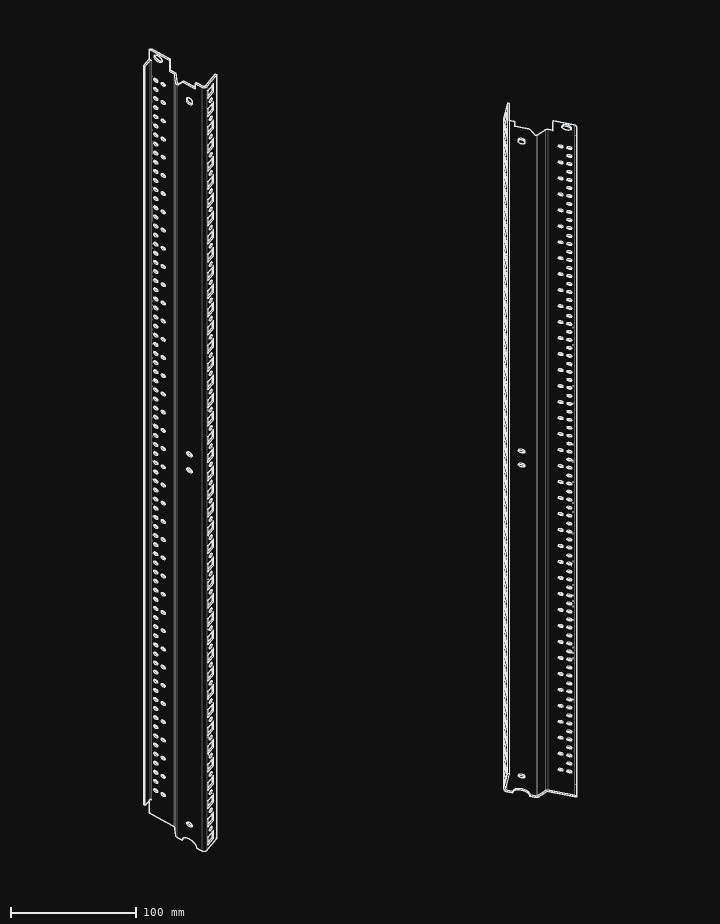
import cadquery as cq
import math

LENGTH = 1048.5
WIDTH = 59.0
DEPTH = 17.0

SHEET = 1.5
INNER_RADIUS = 1.0
OUTER_RADIUS = INNER_RADIUS + SHEET
FLANGE_INNER_RADIUS = 1.5
FLANGE_OUTER_RADIUS = FLANGE_INNER_RADIUS + SHEET
LEFT_WEB_FRONT = 7.5
LEFT_WEB_BACK = LEFT_WEB_FRONT + SHEET
JOG_START = 24.5
JOG_ANGLE = 50.0

SIDE_WALL_BOTTOM = 20.0
SIDE_WALL_TOP = 1035.0

PITCH = 25.0
SMALL_HOLE = 4.0

FIRST_SLOT_Z = 10.75
SLOT_COUNT = 42
SLOT_HEIGHT = 10.5
SLOT_LOW_Y = 4.5
SLOT_HIGH_Y = 12.5

INNER_COLUMN_X = 6.6
OUTER_COLUMN_X = 13.7
FIRST_WEB_HOLE_Z = FIRST_SLOT_Z + PITCH
OUTER_HOLE_COUNT = 40
INNER_HOLE_COUNT = 2 * OUTER_HOLE_COUNT - 1

FIXING_X = 44.0
FIXING_DIAMETER = 5.5
FIXING_BOTTOM_Z = 27.0
FIXING_MIDDLE_SPACING = 22.0
FIXING_SLOT_Z = 1020.0
FIXING_SLOT_LENGTH = 8.5

TAB_HOLE_X = 8.8
TAB_HOLE_Z = 1042.2
TAB_HOLE_DIAMETER = 8.0

NOTCH_LEFT = 20.0
NOTCH_FLOOR = 1033.5
NOTCH_RAMP_START = 33.0
NOTCH_SHOULDER = 1041.2
NOTCH_RAMP_ANGLE = 60.0
NOTCH_RIGHT = 49.6

BOTTOM_NOTCH_RADIUS = 7.0

POINT_TOLERANCE = 0.1


def round_corner(body, x, y, radius):
    """Round the upright edge that passes through (x, y)."""
    near = cq.selectors.BoxSelector(
        (x - POINT_TOLERANCE, y - POINT_TOLERANCE, 0),
        (x + POINT_TOLERANCE, y + POINT_TOLERANCE, LENGTH),
    )
    return body.edges("|Z").edges(near).fillet(radius)


def bent_sheet():
    """Side wall, left web, sloping jog, right web and flange as one bent sheet."""
    slope = math.radians(JOG_ANGLE)
    jog_end = JOG_START + LEFT_WEB_FRONT / math.tan(slope)
    back_shift = SHEET * math.tan(slope / 2)
    flange_inside = WIDTH - SHEET
    outline = [
        (0, 0),
        (0, LEFT_WEB_BACK),
        (JOG_START + back_shift, LEFT_WEB_BACK),
        (jog_end + back_shift, SHEET),
        (flange_inside, SHEET),
        (flange_inside, DEPTH),
        (WIDTH, DEPTH),
        (WIDTH, 0),
        (jog_end, 0),
        (JOG_START, LEFT_WEB_FRONT),
        (SHEET, LEFT_WEB_FRONT),
        (SHEET, 0),
    ]
    bend_corners = [
        (0, LEFT_WEB_BACK, OUTER_RADIUS),
        (SHEET, LEFT_WEB_FRONT, INNER_RADIUS),
        (JOG_START, LEFT_WEB_FRONT, INNER_RADIUS),
        (JOG_START + back_shift, LEFT_WEB_BACK, OUTER_RADIUS),
        (jog_end, 0, OUTER_RADIUS),
        (jog_end + back_shift, SHEET, INNER_RADIUS),
        (WIDTH, 0, FLANGE_OUTER_RADIUS),
        (flange_inside, SHEET, FLANGE_INNER_RADIUS),
    ]
    body = cq.Workplane("XY").polyline(outline).close().extrude(LENGTH)
    for x, y, radius in bend_corners:
        body = round_corner(body, x, y, radius)
    return body


def front_sketch():
    """Plane at the front face, with X to the right and Z up."""
    return cq.Workplane("XZ")


def holes_through_webs(points, diameter):
    return front_sketch().pushPoints(points).circle(diameter / 2).extrude(-DEPTH)


def side_wall_ends():
    """Removes everything in front of the left web, below and above the side wall."""
    bottom = cq.Workplane("XY").rect(OUTER_RADIUS, LEFT_WEB_FRONT, centered=False).extrude(SIDE_WALL_BOTTOM)
    top_start = cq.Workplane("XY", origin=(0, 0, SIDE_WALL_TOP))
    top = top_start.rect(OUTER_RADIUS, LEFT_WEB_FRONT, centered=False).extrude(LENGTH - SIDE_WALL_TOP)
    return bottom.union(top)


def top_notch():
    ramp_rise = NOTCH_SHOULDER - NOTCH_FLOOR
    ramp_end = NOTCH_RAMP_START + ramp_rise / math.tan(math.radians(NOTCH_RAMP_ANGLE))
    outline = [
        (NOTCH_LEFT, LENGTH),
        (NOTCH_LEFT, NOTCH_FLOOR),
        (NOTCH_RAMP_START, NOTCH_FLOOR),
        (ramp_end, NOTCH_SHOULDER),
        (NOTCH_RIGHT, NOTCH_SHOULDER),
        (NOTCH_RIGHT, LENGTH),
    ]
    return front_sketch().polyline(outline).close().extrude(-DEPTH)


def bottom_notch():
    return holes_through_webs([(FIXING_X, 0)], 2 * BOTTOM_NOTCH_RADIUS)


def fixing_holes():
    middle = LENGTH / 2
    half_spacing = FIXING_MIDDLE_SPACING / 2
    heights = (FIXING_BOTTOM_Z, middle - half_spacing, middle + half_spacing)
    round_holes = holes_through_webs([(FIXING_X, z) for z in heights], FIXING_DIAMETER)
    slot = (
        front_sketch()
        .center(FIXING_X, FIXING_SLOT_Z)
        .slot2D(FIXING_SLOT_LENGTH, FIXING_DIAMETER, 90)
        .extrude(-DEPTH)
    )
    return round_holes.union(slot)


def tab_hole():
    return holes_through_webs([(TAB_HOLE_X, TAB_HOLE_Z)], TAB_HOLE_DIAMETER)


def web_perforation():
    outer = [(OUTER_COLUMN_X, FIRST_WEB_HOLE_Z + i * PITCH) for i in range(OUTER_HOLE_COUNT)]
    inner = [(INNER_COLUMN_X, FIRST_WEB_HOLE_Z + i * PITCH / 2) for i in range(INNER_HOLE_COUNT)]
    return holes_through_webs(outer + inner, SMALL_HOLE)


def flange_perforation():
    middle_y = (SLOT_LOW_Y + SLOT_HIGH_Y) / 2
    slots = [(middle_y, FIRST_SLOT_Z + i * PITCH) for i in range(SLOT_COUNT)]
    holes = [(y, z + PITCH / 2) for y, z in slots[:-1]]
    inside = cq.Workplane("YZ", origin=(WIDTH - SHEET, 0, 0))
    slot_cutters = inside.pushPoints(slots).rect(SLOT_HIGH_Y - SLOT_LOW_Y, SLOT_HEIGHT).extrude(SHEET)
    hole_cutters = inside.pushPoints(holes).circle(SMALL_HOLE / 2).extrude(SHEET)
    return slot_cutters.union(hole_cutters)


result = (
    bent_sheet()
    .cut(side_wall_ends())
    .cut(top_notch())
    .cut(bottom_notch())
    .cut(fixing_holes())
    .cut(tab_hole())
    .cut(web_perforation())
    .cut(flange_perforation())
)